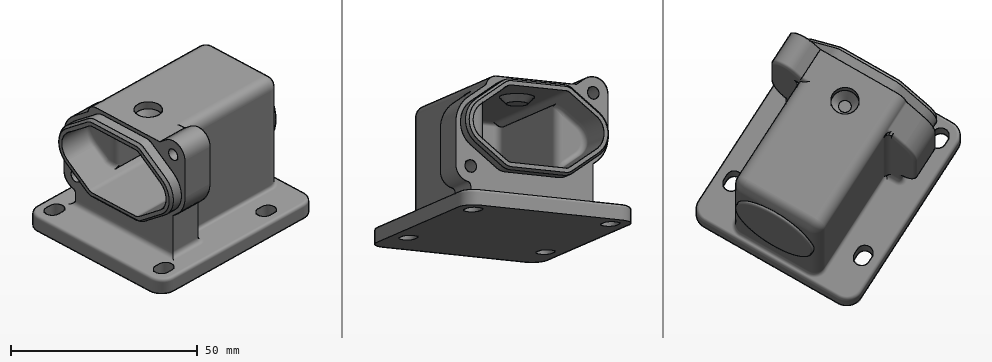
import cadquery as cq
import math

overall_height = 41.35
selection_margin = 0.05

plate_width = 51.0
plate_length = 59.0
plate_height = 4.4
plate_corner_radius = 4.5
plate_edge_radius = 0.95

slot_width = 4.5
slot_length = 6.0
slot_spacing_x = 40.95
slot_rear_y = 15.65
slot_front_y = -23.65

body_width = 27.5
body_top = 38.75
body_rear_y = 27.45
body_edge_radius = 3.2
body_foot_radius = 1.0

pad_radius = 12.05
pad_height = 0.9
pad_center_z = 23.95
pad_edge_radius = 0.5

flange_front_y = -17.75
flange_depth = 10.15
flange_edge_radius = 0.95
flange_root_radius = 1.5
foot_width = 36.6
foot_radius = 1.5
shoulder_radius = 0.95
lug_radius = 4.4
neck_radius = 1.2
screw_hole_diameter = 3.4
screw_hole_depth = 7.65

collar_center_z = 25.15
collar_half_height = 12.45
collar_corner_x = 9.4
collar_slope_angle = math.radians(35.8)
collar_corner_radius = 4.0
collar_side_radius = 7.45
collar_height = 4.0
collar_edge_depth = 0.95
collar_edge_inset = 0.65
collar_wall = 1.8

recess_floor_y = -10.8
recess_floor_radius = 1.5
cavity_width = 21.1
cavity_rear_y = 23.3
cavity_corner_radius = 1.95
cavity_roof_radius = 1.0
cavity_mouth_radius = 2.25

funnel_y = -8.6
funnel_top_diameter = 7.6
funnel_bottom_diameter = 3.4
funnel_bore_depth = 2.25
funnel_boss_drop = 1.8
funnel_boss_overlap = 0.6
funnel_boss_diameter = 5.8

lug_x = foot_width / 2
flange_rear_y = flange_front_y + flange_depth
collar_front_y = flange_front_y - collar_height
lug_rise = overall_height - lug_radius - collar_center_z
cavity_top = collar_center_z + collar_half_height - collar_wall
hollow_middle_angle = math.radians(225)


def upright(y):
    """Sketch plane facing the front at depth y; local axes are X and Z, normal is -Y."""
    return cq.Workplane("XZ", origin=(0, y, 0))


def make_plate():
    plate = (
        cq.Workplane("XY")
        .rect(plate_width, plate_length)
        .extrude(plate_height)
        .edges("|Z")
        .fillet(plate_corner_radius)
        .faces(">Z")
        .edges()
        .fillet(plate_edge_radius)
    )
    half_spacing = slot_spacing_x / 2
    centers = [(x, y) for x in (-half_spacing, half_spacing) for y in (slot_rear_y, slot_front_y)]
    slots = cq.Workplane("XY").pushPoints(centers).slot2D(slot_length, slot_width, 90).extrude(plate_height)
    return plate.cut(slots)


def make_body():
    body_length = body_rear_y - flange_front_y
    return (
        cq.Workplane("XY")
        .center(0, flange_front_y + body_length / 2)
        .rect(body_width, body_length)
        .extrude(body_top)
        .edges(">Y and |Z")
        .fillet(body_edge_radius)
        .faces(">Z")
        .edges("not <Y")
        .fillet(body_edge_radius)
    )


def make_pad():
    depth = body_edge_radius + pad_height
    return (
        upright(body_rear_y + pad_height)
        .center(0, pad_center_z)
        .circle(pad_radius)
        .extrude(depth)
        .faces(">Y")
        .edges()
        .fillet(pad_edge_radius)
    )


def polar(center, radius, angle):
    """Point on a circle; the angle is measured from the first sketch axis toward the second."""
    return center[0] + radius * math.cos(angle), center[1] + radius * math.sin(angle)


def opposite(point):
    """Point mirrored through the collar center."""
    return -point[0], -point[1]


def flange_outline():
    """Flange outline on its front plane, measured from the collar center."""
    slope = math.tan(collar_slope_angle)
    slope_normal = math.pi / 2 - collar_slope_angle
    foot_x = foot_width / 2
    foot_z = plate_height / 2 - collar_center_z
    roof_z = body_top - collar_center_z
    roof_left_x = body_edge_radius - body_width / 2
    slope_left_x = roof_left_x - body_edge_radius / 2

    tip_x = collar_corner_x + collar_half_height / slope
    side_center = (tip_x - collar_side_radius / math.sin(collar_slope_angle), 0)
    side_radius = lug_x + lug_radius - side_center[0]
    side_end = polar(side_center, side_radius, -slope_normal)
    side_middle = polar(side_center, side_radius, -slope_normal / 2)
    side_start = polar(side_center, side_radius, 0)

    lug_center = (lug_x, lug_rise)
    lug_start = polar(lug_center, lug_radius, 0)
    lug_end = polar(lug_center, lug_radius, math.pi / 2 + collar_slope_angle)
    lug_middle = polar(lug_center, lug_radius, (math.pi / 2 + collar_slope_angle) / 2)

    neck_reach = lug_radius + neck_radius
    neck_angle = math.acos(neck_radius / neck_reach)
    neck_center = polar(opposite(lug_center), neck_reach, math.pi + neck_angle)
    neck_start = polar(neck_center, neck_radius, neck_angle)
    neck_middle = polar(neck_center, neck_radius, neck_angle / 2)
    neck_end = polar(neck_center, neck_radius, 0)
    lower_lug_middle = polar(opposite(lug_center), lug_radius, math.pi + neck_angle / 2)

    return (
        upright(flange_front_y)
        .center(0, collar_center_z)
        .moveTo(foot_x, foot_z)
        .lineTo(foot_x, side_end[1] - (side_end[0] - foot_x) * slope)
        .lineTo(*side_end)
        .threePointArc(side_middle, side_start)
        .lineTo(*lug_start)
        .threePointArc(lug_middle, lug_end)
        .lineTo(lug_end[0] - (lug_end[1] - roof_z) / slope, roof_z)
        .lineTo(roof_left_x, roof_z)
        .lineTo(slope_left_x, (slope_left_x + side_end[0]) * slope - side_end[1])
        .lineTo(*opposite(side_end))
        .threePointArc(opposite(side_middle), opposite(side_start))
        .lineTo(*opposite(lug_start))
        .threePointArc(lower_lug_middle, neck_start)
        .threePointArc(neck_middle, neck_end)
        .lineTo(-foot_x, foot_z)
        .close()
    )


def make_flange():
    flange = flange_outline().extrude(-flange_depth)
    return flange.faces(">Y").edges().fillet(flange_edge_radius)


def make_root_fillets():
    """Concave fillets between the body sides and the rear face of the flange."""
    radius = flange_root_radius
    start_x = body_width / 2
    end_x = start_x + radius
    end_y = flange_rear_y + radius
    middle = polar((end_x, end_y), radius, hollow_middle_angle)
    fillet = (
        cq.Workplane("XY", origin=(0, 0, plate_height / 2))
        .moveTo(end_x, flange_rear_y)
        .threePointArc(middle, (start_x, end_y))
        .lineTo(start_x - radius, end_y)
        .lineTo(start_x - radius, flange_rear_y - radius)
        .lineTo(end_x, flange_rear_y - radius)
        .close()
        .extrude(body_top - body_edge_radius - plate_height / 2)
    )
    fillet = fillet.union(fillet.mirror("YZ"))
    return fillet.intersect(flange_outline().extrude(-flange_depth - radius))


def make_hex_prism(y, depth, inset):
    """Rounded six-sided prism running back from depth y, its sides moved inward by inset."""
    half_height = collar_half_height - inset
    corner_x = collar_corner_x - inset * math.tan(collar_slope_angle / 2)
    tip_x = corner_x + half_height / math.tan(collar_slope_angle)
    corners = [(tip_x, 0), (corner_x, half_height), (-corner_x, half_height),
               (-tip_x, 0), (-corner_x, -half_height), (corner_x, -half_height)]
    return (
        upright(y)
        .center(0, collar_center_z)
        .polyline(corners)
        .close()
        .extrude(-depth)
        .edges("|Y")
        .edges(">X or <X")
        .fillet(collar_side_radius - inset)
        .edges("|Y")
        .edges(">Z or <Z")
        .fillet(collar_corner_radius - inset)
    )


def make_collar():
    collar = make_hex_prism(collar_front_y, collar_height, 0)
    return collar.faces("<Y").edges().chamfer(collar_edge_depth, collar_edge_inset)


def make_recess():
    """Wide front part of the cavity, its floor curving back into the narrow part."""
    half_width = cavity_width / 2
    mouth_x = half_width + cavity_mouth_radius
    mouth_end_y = recess_floor_y + cavity_mouth_radius
    mouth_middle = polar((mouth_x, mouth_end_y), cavity_mouth_radius, hollow_middle_angle)
    rear_y = mouth_end_y + recess_floor_radius
    side_x = plate_width / 2
    half_plan = (
        cq.Workplane("XY")
        .moveTo(0, collar_front_y)
        .lineTo(side_x, collar_front_y)
        .lineTo(side_x, recess_floor_y)
        .lineTo(mouth_x, recess_floor_y)
        .threePointArc(mouth_middle, (half_width, mouth_end_y))
        .lineTo(half_width, rear_y)
        .lineTo(0, rear_y)
        .close()
        .extrude(cavity_top)
    )
    plan = half_plan.union(half_plan.mirror("YZ"))
    recess = make_hex_prism(collar_front_y, rear_y - collar_front_y, collar_wall).intersect(plan)
    margin = selection_margin
    floor_rim = recess.edges(
        cq.selectors.BoxSelector(
            (-side_x, recess_floor_y - margin, 0), (side_x, recess_floor_y + margin, cavity_top)
        )
    ).edges("not |Z")
    return floor_rim.fillet(recess_floor_radius)


def make_cavity():
    """Front recess joined to the narrow part that runs back through the body."""
    depth = cavity_rear_y - collar_front_y
    core = (
        upright(collar_front_y)
        .rect(cavity_width, 2 * cavity_top)
        .extrude(-depth)
        .faces(">Y")
        .edges("|Z")
        .fillet(cavity_corner_radius)
        .faces(">Y")
        .edges(">Z")
        .fillet(cavity_roof_radius)
    )
    deep = core.intersect(make_hex_prism(collar_front_y, depth, collar_wall))
    return make_recess().union(deep)


def make_screw_holes():
    centers = [(lug_x, lug_rise), (-lug_x, -lug_rise)]
    return (
        upright(flange_front_y)
        .center(0, collar_center_z)
        .pushPoints(centers)
        .circle(screw_hole_diameter / 2)
        .extrude(-screw_hole_depth)
    )


def make_funnel_boss():
    lower_radius = funnel_boss_diameter / 2
    root_z = cavity_top + funnel_boss_overlap
    tip_z = cavity_top - funnel_boss_drop
    upper_radius = lower_radius + root_z - tip_z
    profile = [(0, tip_z), (lower_radius, tip_z), (upper_radius, root_z), (0, root_z)]
    return cq.Workplane("XZ").polyline(profile).close().revolve().translate((0, funnel_y, 0))


def make_funnel_bore():
    upper_radius = funnel_top_diameter / 2
    lower_radius = funnel_bottom_diameter / 2
    cone_z = body_top - funnel_bore_depth
    floor_z = cone_z - (upper_radius - lower_radius)
    profile = [(0, floor_z), (lower_radius, floor_z), (upper_radius, cone_z),
               (upper_radius, body_top), (0, body_top)]
    return cq.Workplane("XZ").polyline(profile).close().revolve().translate((0, funnel_y, 0))


def fillet_at_plate(solid, half_width, front_y, rear_y, radius):
    """Round the edges where a solid stands on the plate, inside the given footprint."""
    margin = selection_margin
    footprint = cq.selectors.BoxSelector(
        (-half_width - margin, front_y - margin, plate_height - margin),
        (half_width + margin, rear_y + margin, plate_height + margin),
    )
    return solid.edges(footprint).fillet(radius)


def fillet_shoulder(solid):
    """Round the crease where the left slope of the flange runs into the body edge."""
    arc_z = body_top - body_edge_radius
    crease = cq.selectors.BoxSelector(
        (-body_width / 2, flange_front_y + selection_margin, arc_z),
        (body_edge_radius - body_width / 2, flange_rear_y - flange_edge_radius, body_top),
    )
    return solid.edges(crease).edges("|Y").edges("<X").fillet(shoulder_radius)


plate = make_plate()
behind_front_y = flange_front_y + 2 * selection_margin
body_on_plate = fillet_at_plate(
    plate.union(make_body()), body_width / 2, behind_front_y, body_rear_y, body_foot_radius
)
flange_on_plate = fillet_at_plate(
    plate.union(make_flange()), foot_width / 2, flange_front_y, flange_rear_y, foot_radius
)
shell = body_on_plate.union(flange_on_plate).union(make_root_fillets())
shell = fillet_shoulder(shell)
shell = shell.union(make_pad()).union(make_collar())
shell = shell.cut(make_cavity()).cut(make_screw_holes())
result = shell.union(make_funnel_boss()).cut(make_funnel_bore())